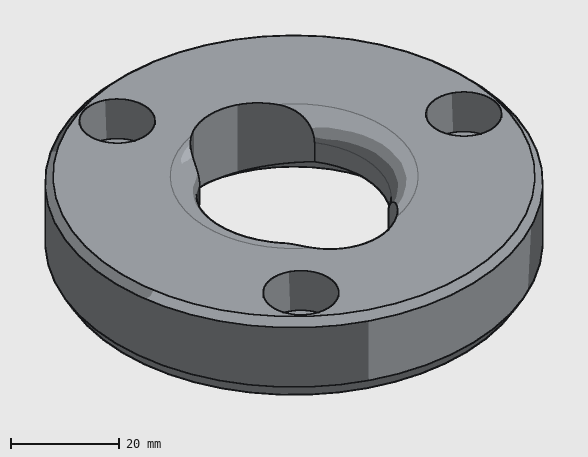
import cadquery as cq

outer_diameter = 92.0
height = 18.0
top_chamfer = 1.5
bottom_chamfer_height = 3.0
bottom_chamfer_width = 1.75

bore_radius = 17.9
bore_rim_fillet = 5.0
lobe_radius = 12.5
lobe_offset = lobe_radius
flare_radius = 28.0
flare_start_depth = 9.4

screw_count = 3
screw_circle_radius = 37.0
screw_hole_diameter = 9.0
counterbore_diameter = 14.0
counterbore_depth = 9.0

outer_radius = outer_diameter / 2
flare_height = height - flare_start_depth


def ring_body():
    """Solid disc with a chamfer at the top rim and a steeper one at the bottom."""
    profile = [
        (0, 0),
        (outer_radius - bottom_chamfer_width, 0),
        (outer_radius, bottom_chamfer_height),
        (outer_radius, height - top_chamfer),
        (outer_radius - top_chamfer, height),
        (0, height),
    ]
    return cq.Workplane("XZ").polyline(profile).close().revolve(360, (0, 0), (0, 1))


def cut_bore(body):
    """Round through bore with a rounded rim at the top face."""
    bored = body.cut(cq.Workplane("XY").circle(bore_radius).extrude(height))
    rim = cq.selectors.RadiusNthSelector(0)
    return bored.faces(">Z").edges(rim).fillet(bore_rim_fillet)


def cut_lobes(body):
    """Two round side lobes that widen the bore along X."""
    for x in (-lobe_offset, lobe_offset):
        body = body.cut(cq.Workplane("XY").center(x, 0).circle(lobe_radius).extrude(height))
    return body


def cut_flare(body):
    """Conical flare that opens the bore toward the underside."""
    profile = [(0, 0), (flare_radius, 0), (bore_radius, flare_height), (0, flare_height)]
    flare = cq.Workplane("XZ").polyline(profile).close().revolve(360, (0, 0), (0, 1))
    return body.cut(flare)


def cut_screw_holes(body):
    """Counterbored through holes, evenly spaced, the first one on +Y."""
    return (
        body.faces(">Z")
        .workplane(origin=(0, 0, height))
        .polarArray(screw_circle_radius, 90, 360, screw_count)
        .cboreHole(screw_hole_diameter, counterbore_diameter, counterbore_depth)
    )


result = cut_screw_holes(cut_flare(cut_lobes(cut_bore(ring_body()))))